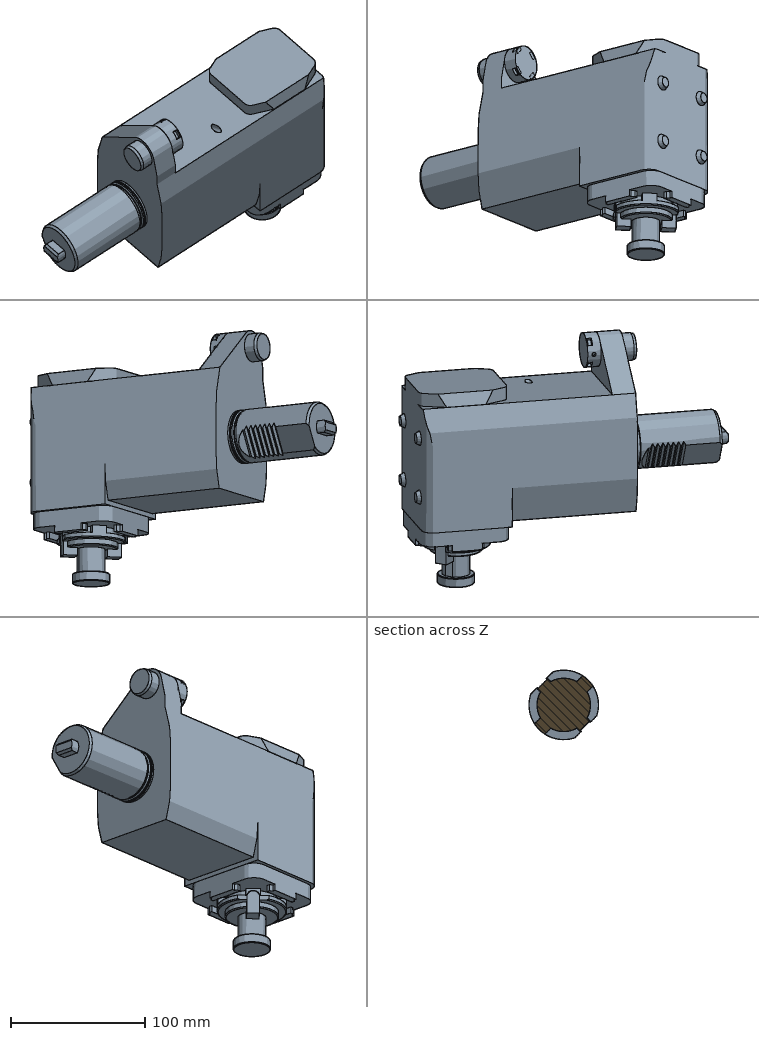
import cadquery as cq
import math


half_width = 37.0
housing_length = 164.5
top_z = 48.0
shoulder_half_width = 31.4
facet_break_half_width = 36.0
facet_break_z = 30.1
side_z = 17.3
front_bottom_z = -44.0
rear_bottom_z = -47.5
back_corner_radius = 8.8
facet_slope = (facet_break_half_width - shoulder_half_width) / (top_z - facet_break_z)

cap_top_z = 58.0
cap_length = 68.0
cap_base_half_width = 31.0
cap_flank_half_length = 15.2
cap_end_half_width = 22.9
cap_corner_radius = 6.0

ear_thickness = 18.0
pin_x = 15.0
pin_z = 70.0
ear_radius = 13.0
ear_side_z = 56.6

top_hole_diameter = 5.0
top_hole_x = 17.7
top_hole_y = 70.0
top_hole_tilt = 60.0
top_hole_depth = 8.0

pin_diameter = 21.0
pin_reach = 10.3
pin_tip_diameter = 19.48
pin_chamfer_length = 2.2
pin_head_diameter = 2 * ear_radius
pin_head_length = 10.3
pin_slot_width = 6.0
pin_slot_length = 3.4
pin_slot_rim = 0.8
pin_slot_depth = 3.0
pin_hole_diameter = 3.0
pin_hole_y = 23.5
pin_hole_depth = 3.0

shank_diameter = 40.0
shank_length = 70.0
shank_chamfer_length = 2.0
shank_chamfer_depth = 1.2
collar_length = 4.6
collar_chamfer = 1.0
collar_groove_y = 2.0
collar_groove_depth = 0.5
neck_diameter = 36.0
neck_end = 7.0
flat_distance = 16.9
flat_angle = 30.0
flat_start = 13.0
runout_length = 4.6
tooth_count = 7
tooth_pitch = 4.0
first_tooth = 16.0
tooth_depth = 1.7
tooth_half_width = 1.6

tongue_width = 16.3
tongue_height = 9.3
tongue_length = 7.6
tongue_chamfer = 1.7

bolt_offset = 23.0
bolt_head_diameter = 10.9
bolt_tip_diameter = 7.5
bolt_head_height = 3.0

flange_size = 68.0
flange_corner_radius = 10.0
flange_bottom_z = -59.3
tab_width = 23.0
tab_root_width = 27.4
tab_depth = 6.0
tab_flare_start = 2.0
tab_flare_end = 3.6
tab_bottom_z = -64.2
spindle_y = housing_length - flange_size / 2

core_diameter = 40.0
ring_diameter = 52.0
ring_top_z = -64.7
ring_bottom_z = -68.4
ring_chamfer = 0.8
ring_flat_distance = 23.2
post_width = 11.0
nose_bottom_z = -73.0
nose_chamfer = 0.8
key_width = 9.5
key_inner = 11.6
key_outer = 22.3
key_top_z = -60.7
key_bottom_z = -78.8
key_angle = -45.0
stem_diameter = 21.0
stem_flat_distance = 10.1
stem_flat_angle = 135.0
nut_diameter = 28.0
nut_top_z = -91.7
nut_bottom_z = -99.0
nut_chamfer = 0.6


def cylinder_y(diameter, y_from, y_to, x=0.0, z=0.0):
    """Cylinder along +Y between two Y positions."""
    base = cq.Workplane("XZ", origin=(x, y_from, z)).circle(diameter / 2)
    return base.extrude(-(y_to - y_from))


def cylinder_z(diameter, z_top, z_bottom):
    """Cylinder on the tool spindle axis, from z_top down to z_bottom."""
    base = cq.Workplane("XY", origin=(0, spindle_y, z_bottom)).circle(diameter / 2)
    return base.extrude(z_top - z_bottom)


def spindle_box(x_from, x_to, width, z_top, z_bottom, angle):
    """Box along a radial direction of the tool spindle."""
    box = cq.Workplane("XY").box(x_to - x_from, width, z_top - z_bottom, centered=(False, True, False))
    box = box.translate((x_from, 0, z_bottom)).rotate((0, 0, 0), (0, 0, 1), angle)
    return box.translate((0, spindle_y, 0))


def facet_half_width(z):
    """Half width of the inclined upper facet, continued to any height."""
    return shoulder_half_width - (z - top_z) * facet_slope


def upper_points(z):
    """Right-hand profile points from the flat side up to height z."""
    return [(half_width, side_z), (facet_break_half_width, facet_break_z), (facet_half_width(z), z)]


def faceted_prism(right_points):
    """Prism along Y with a profile mirrored about x = 0."""
    left_points = [(-x, z) for x, z in reversed(right_points)]
    outline = cq.Workplane("XZ").polyline(right_points + left_points).close()
    return outline.extrude(-housing_length)


def make_body():
    bottom_x = facet_half_width(-front_bottom_z)
    lower_points = [
        (bottom_x, front_bottom_z),
        (facet_break_half_width, -facet_break_z),
        (half_width, -side_z),
    ]
    front = faceted_prism(lower_points + upper_points(top_z))
    rear_keep = cq.Workplane("XY").box(
        2 * half_width, flange_size, cap_top_z - rear_bottom_z, centered=(True, False, False)
    ).translate((0, housing_length - flange_size, rear_bottom_z))
    rear = faceted_prism([(half_width, rear_bottom_z)] + upper_points(top_z)).intersect(rear_keep)
    envelope = cq.Workplane("XY").box(
        2 * half_width, housing_length, cap_top_z - rear_bottom_z, centered=(True, False, False)
    ).translate((0, 0, rear_bottom_z))
    envelope = envelope.edges("|Z and >Y").fillet(back_corner_radius)
    return front.union(rear).intersect(envelope).union(make_cap())


def make_cap():
    """Octagonal block with rounded end corners and sides sloped like the upper facets."""
    half_length = cap_length / 2
    quarter = [(cap_end_half_width, half_length), (cap_base_half_width, cap_flank_half_length)]
    right = quarter + [(x, -y) for x, y in reversed(quarter)]
    left = [(-x, -y) for x, y in right]
    block = cq.Workplane("XY", origin=(0, spindle_y, top_z)).polyline(right + left).close()
    block = block.extrude(cap_top_z - top_z)
    for end in (">Y", "<Y"):
        block = block.faces(end).edges("|Z").fillet(cap_corner_radius)
    cap_top_half_width = cap_base_half_width - (cap_top_z - top_z) * facet_slope
    sides = faceted_prism([(cap_base_half_width, top_z), (cap_top_half_width, cap_top_z)])
    return block.intersect(sides)


def tangent_point(x, z, turn):
    """Point where the line from (x, z) touches the ear's round end; turn is +1 or -1."""
    dx = x - pin_x
    dz = z - pin_z
    angle = math.atan2(dz, dx) + turn * math.acos(ear_radius / math.hypot(dx, dz))
    return pin_x + ear_radius * math.cos(angle), pin_z + ear_radius * math.sin(angle)


def make_ear():
    left = (-shoulder_half_width, top_z)
    right = (shoulder_half_width, ear_side_z)
    outline = (
        cq.Workplane("XZ")
        .moveTo(shoulder_half_width, 0)
        .lineTo(*right)
        .lineTo(*tangent_point(*right, 1))
        .threePointArc((pin_x, pin_z + ear_radius), tangent_point(*left, -1))
        .lineTo(*left)
        .lineTo(-shoulder_half_width, 0)
        .close()
    )
    return outline.extrude(-ear_thickness)


def make_housing():
    housing = make_body().union(make_ear())
    housing = housing.cut(cylinder_y(pin_diameter, 0, ear_thickness, pin_x, pin_z))
    hole = cq.Workplane("XY").circle(top_hole_diameter / 2).extrude(2 * top_hole_depth, both=True)
    hole = hole.rotate((0, 0, 0), (0, 1, 0), top_hole_tilt)
    hole = hole.translate((top_hole_x, top_hole_y, top_z))
    depth_limit = cq.Workplane("XY", origin=(top_hole_x, top_hole_y, top_z)).box(
        4 * top_hole_depth, 2 * top_hole_diameter, 2 * top_hole_depth
    )
    return housing.cut(hole.intersect(depth_limit))


def make_lock_pin():
    plunger = cylinder_y(pin_diameter, -pin_reach, ear_thickness, pin_x, pin_z)
    tip_step = (pin_diameter - pin_tip_diameter) / 2
    plunger = plunger.faces("<Y").chamfer(pin_chamfer_length, tip_step)
    head_end = ear_thickness + pin_head_length
    pin = plunger.union(cylinder_y(pin_head_diameter, ear_thickness, head_end, pin_x, pin_z))
    slot_y = head_end - pin_slot_rim - pin_slot_length / 2
    slot = cq.Workplane("XY").box(2 * pin_slot_depth, pin_slot_length, pin_slot_width)
    slot = slot.translate((pin_x + pin_head_diameter / 2, slot_y, pin_z))
    for angle in (45, 135, 225, 315):
        pin = pin.cut(slot.rotate((pin_x, 0, pin_z), (pin_x, 1, pin_z), angle))
    head_side_x = pin_x - pin_head_diameter / 2
    hole = cq.Workplane("YZ", origin=(head_side_x, pin_hole_y, pin_z))
    return pin.cut(hole.circle(pin_hole_diameter / 2).extrude(pin_hole_depth))


def make_shank():
    radius = shank_diameter / 2
    half_profile = [
        (0, 0),
        (radius, 0),
        (radius, -collar_groove_y + collar_groove_depth),
        (radius - collar_groove_depth, -collar_groove_y),
        (radius, -collar_groove_y - collar_groove_depth),
        (radius, -collar_length + collar_chamfer),
        (radius - collar_chamfer, -collar_length),
        (neck_diameter / 2, -collar_length),
        (neck_diameter / 2, -neck_end),
        (radius, -neck_end),
        (radius, -shank_length + shank_chamfer_length),
        (radius - shank_chamfer_depth, -shank_length),
        (0, -shank_length),
    ]
    shank = cq.Workplane("XY").polyline(half_profile).close().revolve(360, (0, 0, 0), (0, 1, 0))
    cutter = [(-radius, -flat_start + runout_length), (-flat_distance, -flat_start)]
    for index in range(tooth_count):
        y = -first_tooth - index * tooth_pitch
        cutter.append((-flat_distance, y + tooth_half_width))
        cutter.append((-flat_distance + tooth_depth, y))
        cutter.append((-flat_distance, y - tooth_half_width))
    cutter.append((-flat_distance, -shank_length))
    cutter.append((-radius, -shank_length))
    flat = cq.Workplane("XY").polyline(cutter).close().extrude(radius, both=True)
    return shank.cut(flat.rotate((0, 0, 0), (0, 1, 0), -flat_angle))


def make_tongue():
    """Flat tongue with rounded sides and a chamfered tip."""
    tongue = cylinder_y(tongue_width, -shank_length - tongue_length, -shank_length)
    slab = cq.Workplane("XZ", origin=(0, -shank_length, 0)).rect(2 * tongue_width, tongue_height)
    slab = slab.extrude(tongue_length).faces("<Y").edges("|X").chamfer(tongue_chamfer)
    return tongue.intersect(slab)


def make_bolt(x, z):
    head = cq.Workplane("XZ", origin=(x, housing_length, z)).circle(bolt_head_diameter / 2)
    taper = math.degrees(math.atan((bolt_head_diameter - bolt_tip_diameter) / 2 / bolt_head_height))
    return head.extrude(-bolt_head_height, taper=taper)


def make_flange():
    flange = cq.Workplane("XY", origin=(0, spindle_y, flange_bottom_z)).rect(flange_size, flange_size)
    flange = flange.extrude(rear_bottom_z - flange_bottom_z).edges("|Z").fillet(flange_corner_radius)
    outer_x = flange_size / 2
    edge = [
        (outer_x, tab_width / 2),
        (outer_x - tab_flare_start, tab_width / 2),
        (outer_x - tab_flare_end, tab_root_width / 2),
        (outer_x - tab_depth, tab_root_width / 2),
    ]
    outline = edge + [(x, -y) for x, y in reversed(edge)]
    tab = cq.Workplane("XY", origin=(0, 0, tab_bottom_z)).polyline(outline).close()
    tab = tab.extrude(flange_bottom_z - tab_bottom_z)
    for angle in (0, 90, 180, 270):
        flange = flange.union(tab.rotate((0, 0, 0), (0, 0, 1), angle).translate((0, spindle_y, 0)))
    return flange


def make_key(angle, outer):
    """Radial drive key with a rounded top, reaching out to the given radius."""
    round_center_z = key_top_z - key_width / 2
    key = spindle_box(key_inner, outer, key_width, round_center_z, key_bottom_z, 0)
    crown = cq.Workplane("YZ", origin=(key_inner, spindle_y, round_center_z)).circle(key_width / 2)
    key = key.union(crown.extrude(outer - key_inner))
    return key.rotate((0, spindle_y, 0), (0, spindle_y, 1), angle)


def make_spindle():
    ring_radius = ring_diameter / 2
    spindle = cylinder_z(ring_diameter, ring_top_z, ring_bottom_z).faces("<Z").chamfer(ring_chamfer)
    posts = cylinder_z(ring_diameter, flange_bottom_z, ring_top_z)
    arms = None
    for angle in (key_angle, key_angle + 90):
        arm = spindle_box(-ring_radius, ring_radius, post_width, flange_bottom_z, ring_top_z, angle)
        arms = arm if arms is None else arms.union(arm)
    spindle = spindle.union(posts.intersect(arms))
    for angle in (key_angle, key_angle + 180):
        trim = spindle_box(
            ring_flat_distance, 2 * ring_radius, ring_diameter, flange_bottom_z, ring_bottom_z, angle
        )
        spindle = spindle.cut(trim)
    nose = cylinder_z(core_diameter, flange_bottom_z, nose_bottom_z).faces("<Z").chamfer(nose_chamfer)
    spindle = spindle.union(nose)
    for angle in (key_angle, key_angle + 180):
        spindle = spindle.cut(make_key(angle, ring_radius)).union(make_key(angle, key_outer))
    stem = cylinder_z(stem_diameter, nose_bottom_z, nut_top_z)
    stem_flat = spindle_box(
        stem_flat_distance, stem_diameter, stem_diameter, nose_bottom_z, nut_top_z, stem_flat_angle
    )
    nut = cylinder_z(nut_diameter, nut_top_z, nut_bottom_z).edges().chamfer(nut_chamfer)
    return spindle.union(stem.cut(stem_flat)).union(nut)


housing = make_housing()
shank = make_shank()
tongue = make_tongue()
lock_pin = make_lock_pin()
flange = make_flange()
spindle = make_spindle()
bolts = [make_bolt(x, z) for x in (-bolt_offset, bolt_offset) for z in (-bolt_offset, bolt_offset)]

result = cq.Compound.makeCompound(
    [
        housing.val(),
        shank.val(),
        tongue.val(),
        lock_pin.val(),
        flange.val(),
        spindle.val(),
        *[bolt.val() for bolt in bolts],
    ]
)